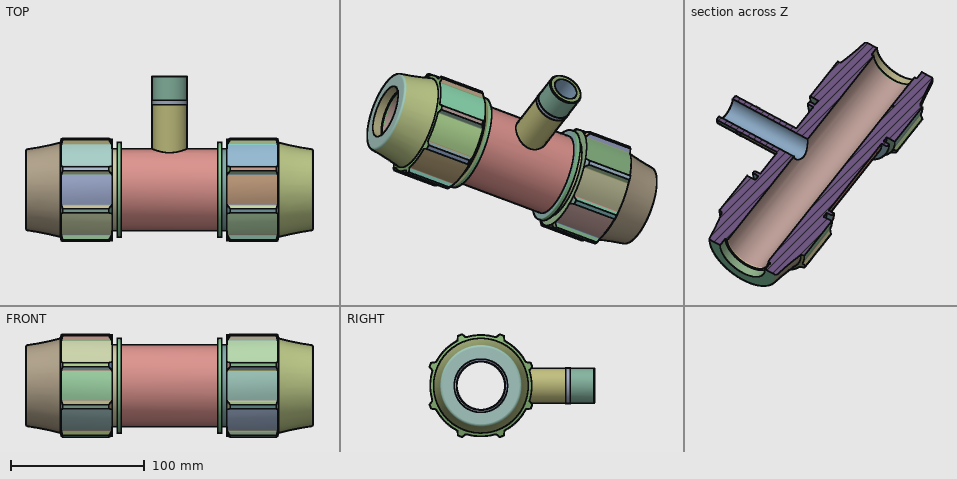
import cadquery as cq
import math

length = 215.0
half_length = length / 2

body_diameter = 61.5
flange_diameter = 71.4
flange_inset = 68.4
flange_thickness = 3.0
flange_fillet = 0.6

bore_diameter = 36.0
mouth_diameter = 40.0
mouth_depth = 7.0
lead_in_diameter = 36.5
lead_in_length = 1.3

collar_tip_radius = 30.3
collar_base_radius = 35.5
collar_tip_fillet = 1.7
collar_sag = 0.5

nut_front = 25.8
nut_back = 64.5
nut_radius = 38.0
nut_face_lean = 0.3
rib_count = 8
rib_top_radius = 41.0
rib_top_width = 3.5
rib_base_width = 6.9
rib_root_fillet = 0.9
rib_back_slope_length = 2.4

branch_diameter = 26.5
branch_bore_diameter = 18.5
branch_reach = 85.1
branch_tip_chamfer = 0.6
band_diameter = 26.9
band_inset = 18.3
band_width = 3.2


def x_cylinder(diameter, start, end):
    """Solid cylinder about the X axis between two X positions."""
    return cq.Workplane("YZ", origin=(start, 0, 0)).circle(diameter / 2).extrude(end - start)


def y_cylinder(diameter, start, end):
    """Solid cylinder about the Y axis between two Y positions."""
    return cq.Workplane("XZ", origin=(0, start, 0)).circle(diameter / 2).extrude(start - end)


def revolve_about_x(profile):
    """Close an XY profile and turn it fully about the X axis."""
    return profile.close().revolve(360, (0, 0, 0), (1, 0, 0))


def mirror_end(left):
    """Left-end feature joined with its copy on the right end."""
    return left.union(left.mirror("YZ"))


def make_flange():
    start = flange_inset - half_length
    flange = x_cylinder(flange_diameter, start, start + flange_thickness)
    return flange.edges().fillet(flange_fillet)


def make_collar():
    tip = -half_length
    base = nut_front - half_length
    flank_middle = ((tip + base) / 2, (collar_tip_radius + collar_base_radius) / 2 - collar_sag)
    profile = (
        cq.Workplane("XY")
        .moveTo(tip, 0)
        .lineTo(tip, collar_tip_radius)
        .threePointArc(flank_middle, (base, collar_base_radius))
        .lineTo(nut_back - half_length, collar_base_radius)
        .lineTo(nut_back - half_length, 0)
    )
    return revolve_about_x(profile).faces("<X").edges().fillet(collar_tip_fillet)


def make_nut():
    front = nut_front - half_length
    back = nut_back - half_length
    nut = x_cylinder(2 * nut_radius, front, back)

    half_base = rib_base_width / 2
    half_top = rib_top_width / 2
    rib_base_height = math.sqrt(nut_radius**2 - half_base**2)
    rib_outline = [
        (-half_base, 0),
        (-half_base, rib_base_height),
        (-half_top, rib_top_radius),
        (half_top, rib_top_radius),
        (half_base, rib_base_height),
        (half_base, 0),
    ]
    rib = cq.Workplane("YZ", origin=(front, 0, 0)).polyline(rib_outline).close().extrude(back - front)
    rib_pitch = 360 / rib_count
    for index in range(rib_count):
        nut = nut.union(rib.rotate((0, 0, 0), (1, 0, 0), (index + 0.5) * rib_pitch))

    rib_middle_radius = (nut_radius + rib_top_radius) / 2
    roots = nut.edges("|X").filter(
        lambda edge: math.hypot(edge.Center().y, edge.Center().z) < rib_middle_radius
    )
    nut = roots.fillet(rib_root_fillet)

    rib_corner_radius = math.hypot(rib_top_radius, half_top)
    lean = nut_face_lean * (rib_corner_radius - collar_base_radius)
    envelope = (
        cq.Workplane("XY")
        .moveTo(front, 0)
        .lineTo(front, collar_base_radius)
        .lineTo(front + lean, rib_corner_radius)
        .lineTo(back - rib_back_slope_length, rib_corner_radius)
        .lineTo(back, nut_radius)
        .lineTo(back, 0)
    )
    return nut.intersect(revolve_about_x(envelope))


def make_branch():
    branch = y_cylinder(branch_diameter, 0, branch_reach)
    branch = branch.faces(">Y").edges().chamfer(branch_tip_chamfer)
    band_end = branch_reach - band_inset
    band = y_cylinder(band_diameter, band_end - band_width, band_end)
    return branch.union(band)


def make_mouth():
    mouth_end = mouth_depth - half_length
    profile = (
        cq.Workplane("XY")
        .moveTo(-half_length, 0)
        .lineTo(-half_length, mouth_diameter / 2)
        .lineTo(mouth_end, mouth_diameter / 2)
        .lineTo(mouth_end, lead_in_diameter / 2)
        .lineTo(mouth_end + lead_in_length, bore_diameter / 2)
        .lineTo(mouth_end + lead_in_length, 0)
    )
    return revolve_about_x(profile)


body = x_cylinder(body_diameter, nut_front - half_length, half_length - nut_front)
for end_feature in (make_collar(), make_nut(), make_flange()):
    body = body.union(mirror_end(end_feature))
body = body.union(make_branch())

main_bore = x_cylinder(bore_diameter, -half_length, half_length)
branch_bore = y_cylinder(branch_bore_diameter, 0, branch_reach)

result = body.cut(main_bore).cut(mirror_end(make_mouth())).cut(branch_bore)